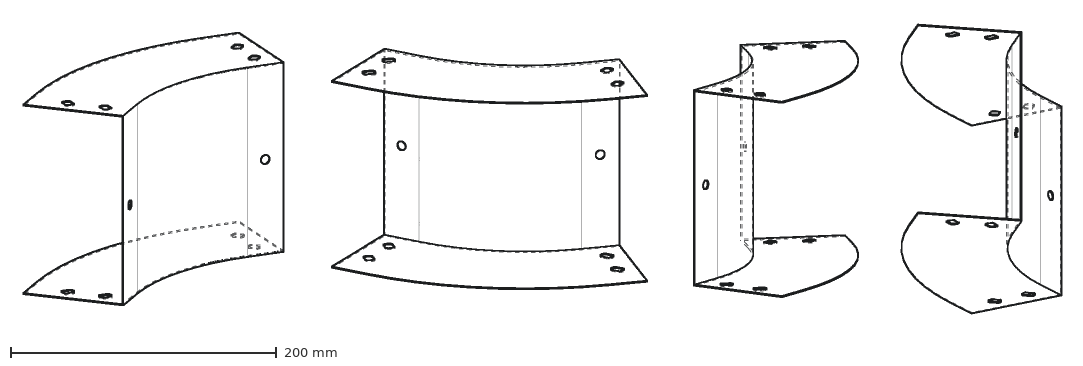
import cadquery as cq
import math

overall_length = 221.0
height = 150.0
width = 80.0
thickness = 1.0
bend_angle = 45.0
straight = 30.0

sin_bend = math.sin(math.radians(bend_angle))
cos_bend = math.cos(math.radians(bend_angle))
outer_radius = (overall_length - straight * (1 + cos_bend)) / sin_bend
inner_radius = outer_radius - width
web_outer_radius = inner_radius + thickness

bolt_diameter = 7.0
slot_length = 10.0
slot_angle = 45.0
hole_setback = straight / 2
first_slot_x = 30.0
slot_pitch = 30.0
slot_xs = (first_slot_x, first_slot_x + slot_pitch)

bend_center = (outer_radius, straight)


def bend_point(radius, angle, run=0.0):
    """Point on an arc about the bend center, moved along the tangent by run."""
    turn = math.radians(angle)
    x = bend_center[0] - radius * math.cos(turn) + run * math.sin(turn)
    y = bend_center[1] + radius * math.sin(turn) + run * math.cos(turn)
    return (x, y)


def curved_strip(large_radius, small_radius, depth):
    """Upright solid between two radii, with a straight length at each end."""
    half_turn = bend_angle / 2
    return (
        cq.Workplane("XY")
        .moveTo(*bend_point(large_radius, 0, -straight))
        .lineTo(*bend_point(large_radius, 0))
        .threePointArc(bend_point(large_radius, half_turn), bend_point(large_radius, bend_angle))
        .lineTo(*bend_point(large_radius, bend_angle, straight))
        .lineTo(*bend_point(small_radius, bend_angle, straight))
        .lineTo(*bend_point(small_radius, bend_angle))
        .threePointArc(bend_point(small_radius, half_turn), bend_point(small_radius, 0))
        .lineTo(*bend_point(small_radius, 0, -straight))
        .close()
        .extrude(depth)
    )


def slot_cutter(x, bottom, angle):
    """Round hole narrowed by two parallel flats, at the start of the bend."""
    cut_depth = 2 * thickness
    flats = cq.Workplane("XY").box(slot_length, bolt_diameter, cut_depth)
    cutter = cq.Workplane("XY").circle(slot_length / 2).extrude(cut_depth / 2, both=True)
    cutter = cutter.intersect(flats).rotate((0, 0, 0), (0, 0, 1), angle)
    return cutter.translate((x, hole_setback, bottom + thickness / 2))


def web_hole_cutter():
    """Round bolt hole through the web at the start of the bend."""
    hole_reach = 2 * thickness
    return (
        cq.Workplane("YZ", origin=(width - thickness / 2, hole_setback, height / 2))
        .circle(bolt_diameter / 2)
        .extrude(hole_reach, both=True)
    )


def to_far_end(cutter):
    """Carry a cutter from the start of the bend to the matching place at its end."""
    pivot = (bend_center[0], bend_center[1], 0)
    pivot_top = (bend_center[0], bend_center[1], 1)
    advance = 2 * (straight - hole_setback)
    return cutter.translate((0, advance, 0)).rotate(pivot, pivot_top, -bend_angle)


top_flange_bottom = height - thickness
flange = curved_strip(outer_radius, inner_radius, thickness)
web = curved_strip(web_outer_radius, inner_radius, height)
result = web.union(flange).union(flange.translate((0, 0, top_flange_bottom)))

cutters = [web_hole_cutter()]
for slot_x in slot_xs:
    cutters.append(slot_cutter(slot_x, 0, slot_angle))
    cutters.append(slot_cutter(slot_x, top_flange_bottom, -slot_angle))

for end_cutter in cutters:
    result = result.cut(end_cutter).cut(to_far_end(end_cutter))